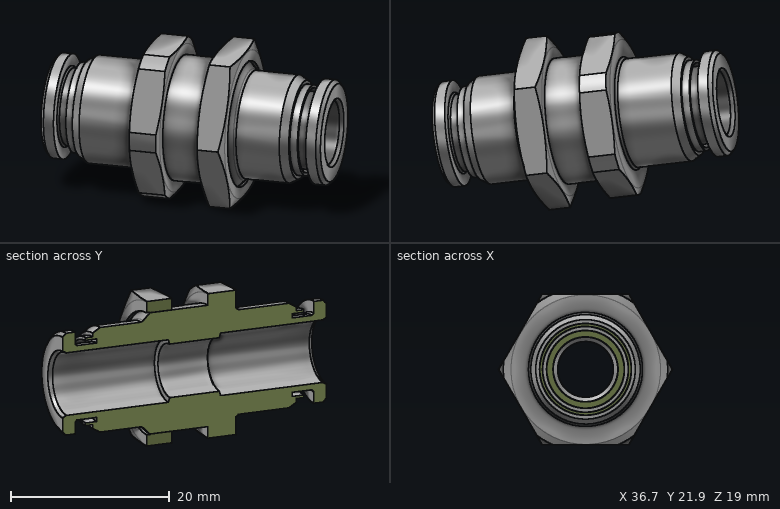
import cadquery as cq
import math

TOTAL_LENGTH = 36.7
END_X = TOTAL_LENGTH / 2

FLANGE_RADIUS = 6.7
FLANGE_CHAMFER = 0.48
FLANGE_THICKNESS = 1.8
NECK_RADIUS = 4.9
NECK_CHAMFER = 0.25
NECK_END = 4.75

RING_START = 3.15
RING_INNER_RADIUS = 5.4
RING_RADIUS = 5.8
RING_END = 4.15

BARREL_RADIUS = 6.9
BARREL_FACE_RADIUS = 6.28
BARREL_CHAMFER_END = 5.2

THREAD_RADIUS = 8.0
THREAD_TIP_RADIUS = 7.1
THREAD_TIP_X = 7.12
THREAD_CHAMFER = THREAD_RADIUS - THREAD_TIP_RADIUS

HEX_SHOULDER_RADIUS = 7.2
SHOULDER_LENGTH = 0.33

ACROSS_FLATS = 19.0
ACROSS_CORNERS = ACROSS_FLATS / math.cos(math.radians(30))
HEX_FACE_RADIUS = 9.45
HEX_CHAMFER_ANGLE = 15.0
FIXED_HEX_START_X = -5.8
FIXED_HEX_LENGTH = 3.95
FIXED_HEX_BLANK_RADIUS = 10.35
NUT_START_X = 3.12
NUT_LENGTH = 3.55

MOUTH_RADIUS = 4.35
MOUTH_CHAMFER_LENGTH = 0.5
SOCKET_RADIUS = 4.07
SOCKET_DEPTH = 14.68
PASSAGE_RADIUS = 3.5
SEAT_ANGLE = 20.0
SEAT_LENGTH = (SOCKET_RADIUS - PASSAGE_RADIUS) * math.tan(math.radians(SEAT_ANGLE))


def revolve_about_x(points):
    """Solid of revolution about the X axis from (x, radius) points."""
    return cq.Workplane("XY").polyline(points).close().revolve(360, (0, 0, 0), (1, 0, 0))


def cylinder_along_x(radius, start_x, length):
    return cq.Workplane("YZ", origin=(start_x, 0, 0)).circle(radius).extrude(length)


def chamfered_hex(start_x, length, blank_radius):
    """Hexagon with flats facing +Z and -Z, turned to a blank with coned end faces."""
    end_x = start_x + length
    cone_length = (blank_radius - HEX_FACE_RADIUS) * math.tan(math.radians(HEX_CHAMFER_ANGLE))
    blank = revolve_about_x([
        (start_x, 0),
        (start_x, HEX_FACE_RADIUS),
        (start_x + cone_length, blank_radius),
        (end_x - cone_length, blank_radius),
        (end_x, HEX_FACE_RADIUS),
        (end_x, 0),
    ])
    prism = cq.Workplane("YZ", origin=(start_x, 0, 0)).polygon(6, ACROSS_CORNERS).extrude(length)
    return prism.intersect(blank)


def end_outline():
    """(distance from the end face, radius) points of one release collar and barrel nose."""
    return [
        (0, FLANGE_RADIUS - FLANGE_CHAMFER),
        (FLANGE_CHAMFER, FLANGE_RADIUS),
        (FLANGE_THICKNESS, FLANGE_RADIUS),
        (FLANGE_THICKNESS, NECK_RADIUS + NECK_CHAMFER),
        (FLANGE_THICKNESS + NECK_CHAMFER, NECK_RADIUS),
        (NECK_END, NECK_RADIUS),
        (NECK_END, RING_INNER_RADIUS),
        (RING_START, RING_INNER_RADIUS),
        (RING_START, RING_RADIUS),
        (RING_END, RING_RADIUS),
        (RING_END, BARREL_FACE_RADIUS),
        (BARREL_CHAMFER_END, BARREL_RADIUS),
    ]


def bore_outline():
    """(distance from the end face, radius) points of one mouth, socket and seat."""
    return [
        (0, MOUTH_RADIUS),
        (MOUTH_CHAMFER_LENGTH, SOCKET_RADIUS),
        (SOCKET_DEPTH, SOCKET_RADIUS),
        (SOCKET_DEPTH + SEAT_LENGTH, PASSAGE_RADIUS),
    ]


def mirrored_profile(half_outline, middle=()):
    """Close (depth, radius) points of the -X end and their mirror image onto the axis."""
    left = [(-END_X + depth, radius) for depth, radius in half_outline]
    right = [(END_X - depth, radius) for depth, radius in reversed(half_outline)]
    return [(-END_X, 0), *left, *middle, *right, (END_X, 0)]


def make_fitting_body():
    middle = [
        (FIXED_HEX_START_X - SHOULDER_LENGTH, BARREL_RADIUS),
        (FIXED_HEX_START_X, HEX_SHOULDER_RADIUS),
        (FIXED_HEX_START_X, THREAD_RADIUS),
        (THREAD_TIP_X - THREAD_CHAMFER, THREAD_RADIUS),
        (THREAD_TIP_X, THREAD_TIP_RADIUS),
        (THREAD_TIP_X + SHOULDER_LENGTH, BARREL_RADIUS),
    ]
    turned_body = revolve_about_x(mirrored_profile(end_outline(), middle))
    hexagon = chamfered_hex(FIXED_HEX_START_X, FIXED_HEX_LENGTH, FIXED_HEX_BLANK_RADIUS)
    bore = revolve_about_x(mirrored_profile(bore_outline()))
    return turned_body.union(hexagon).cut(bore)


def make_lock_nut():
    """Lock nut screwed onto the thread; its end face stands over the thread chamfer."""
    nut = chamfered_hex(NUT_START_X, NUT_LENGTH, ACROSS_CORNERS / 2)
    return nut.cut(cylinder_along_x(THREAD_RADIUS, NUT_START_X, NUT_LENGTH))


fitting_body = make_fitting_body()
lock_nut = make_lock_nut()

result = cq.Compound.makeCompound([fitting_body.val(), lock_nut.val()])